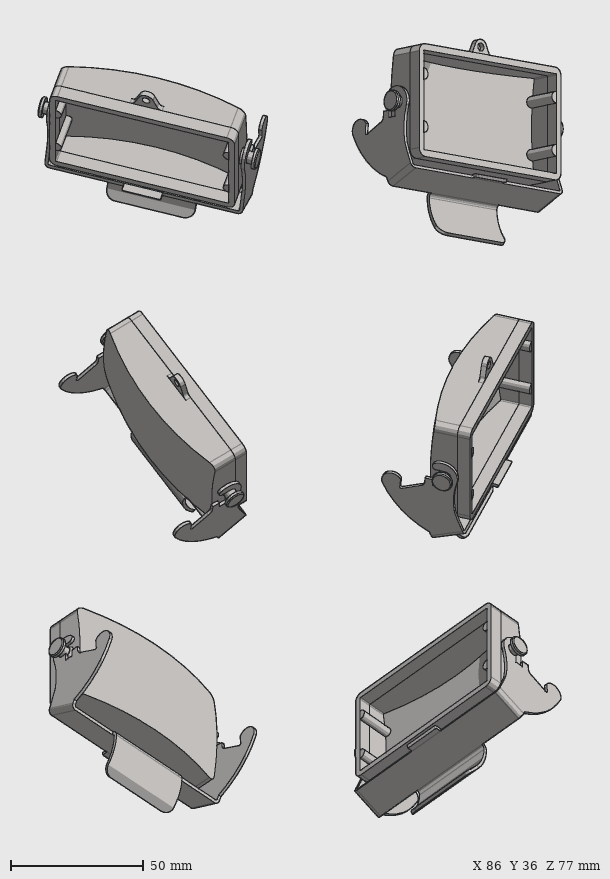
import cadquery as cq
import math

SIDES = (-1, 1)

hood_width = 73.2
hood_height = 43.6
corner_radius = 3.1
side_wall = 2.3
top_wall = 2.6
inner_corner_radius = 0.4
frame_depth = 5.2
dome_apex = 21.5
dome_radius = 124.7
dome_wall = 2.6

post_diameter = 4.6
post_height = 10.2
post_front = 0.2

ear_thickness = 2.15
ear_hole_diameter = 3.0
ear_hole_height = 25.7
ear_radius = 3.0
ear_lean = 23.7
ear_root_fillet = 2.1

overall_width = 86.0
pin_y = 9.3
pin_diameter = 4.7
pin_head_diameter = 8.0
pin_head_thickness = 1.5
pin_head_chamfer = 0.4
collar_diameter = 6.5
collar_tip_diameter = 5.2

lever_width = 78.35
sheet = 1.3
bend_radius = 2.0
lever_tilt = -22.8
web_bottom = -27.4
web_front = 3.0
web_rear = 16.7
notch_radius = 2.5
notch_step = 1.5
notch_side = 4.9
notch_floor = -5.4
shoulder_top = -2.6
shoulder_end = 7.9

handle_width = 34.9
handle_bend_radius = 2.4
handle_bend_angle = 69.0
handle_radius = 20.1
handle_angle = 46.5
handle_corner_radius = 3.95
catch_width = 15.3
catch_radius = 3.4
catch_angle = 49.0
catch_corner_radius = 0.5

cavity_width = hood_width - 2 * side_wall
cavity_height = hood_height - 2 * top_wall
lever_inner_x = lever_width / 2 - sheet
web_middle = web_bottom + sheet / 2


def rounded_block(width, height, radius, front, back):
    """Block along Y with rounded corners in the XZ plane."""
    return (
        cq.Workplane("XZ", origin=(0, front, 0))
        .rect(width, height)
        .extrude(front - back)
        .edges("|Y")
        .fillet(radius)
    )


def dome_ball(radius):
    """Ball whose rear surface forms the domed back."""
    return cq.Workplane("XY").sphere(radius).translate((0, dome_apex - dome_radius, 0))


cavity = rounded_block(
    cavity_width, cavity_height, inner_corner_radius, 0, dome_apex
).intersect(dome_ball(dome_radius - dome_wall))


def make_frame():
    block = rounded_block(hood_width, hood_height, corner_radius, 0, frame_depth)
    return block.cut(cavity)


def make_ear():
    """Rounded eyelet whose flanks widen into the top of the hood."""
    lean = math.radians(ear_lean)
    top = hood_height / 2
    shoulder_x = ear_radius * math.cos(lean)
    shoulder_z = ear_hole_height + ear_radius * math.sin(lean)
    flank_base_x = shoulder_x + (shoulder_z - top) * math.tan(lean)
    tangent_length = ear_root_fillet * math.tan((math.pi / 2 - lean) / 2)
    root_x = flank_base_x + tangent_length
    flank_x = flank_base_x - tangent_length * math.sin(lean)
    flank_z = top + tangent_length * math.cos(lean)
    bury = 0.9
    return (
        cq.Workplane("XZ", origin=(0, frame_depth, 0))
        .moveTo(-root_x, top - bury)
        .lineTo(-root_x, top)
        .radiusArc((-flank_x, flank_z), -ear_root_fillet)
        .lineTo(-shoulder_x, shoulder_z)
        .threePointArc((0, ear_hole_height + ear_radius), (shoulder_x, shoulder_z))
        .lineTo(flank_x, flank_z)
        .radiusArc((root_x, top), -ear_root_fillet)
        .lineTo(root_x, top - bury)
        .close()
        .moveTo(0, ear_hole_height)
        .circle(ear_hole_diameter / 2)
        .extrude(-ear_thickness)
    )


def make_posts():
    """Half-round posts on the side walls, running from the dome to near the open face."""
    centres = [(side * cavity_width / 2, z) for side in SIDES for z in (-post_height, post_height)]
    return (
        cq.Workplane("XZ", origin=(0, post_front, 0))
        .pushPoints(centres)
        .circle(post_diameter / 2)
        .extrude(post_front - dome_apex)
        .intersect(cavity)
    )


def make_hood():
    block = rounded_block(hood_width, hood_height, corner_radius, frame_depth, dome_apex)
    shell = block.intersect(dome_ball(dome_radius)).cut(cavity)
    return shell.union(make_ear()).union(make_posts())


def make_pin(side):
    """Headed pin standing on one side face of the hood, revolved about its X axis."""
    base = hood_width / 2
    end = overall_width / 2
    shaft_radius = pin_diameter / 2
    head_radius = pin_head_diameter / 2
    outline = [
        (base, 0),
        (base, collar_diameter / 2),
        (lever_inner_x, collar_tip_diameter / 2),
        (lever_inner_x, shaft_radius),
        (end - pin_head_thickness, shaft_radius),
        (end - pin_head_thickness, head_radius),
        (end - pin_head_chamfer, head_radius),
        (end, head_radius - pin_head_chamfer),
        (end, 0),
    ]
    return (
        cq.Workplane("XY", origin=(0, pin_y, 0))
        .polyline([(side * x, r) for x, r in outline])
        .close()
        .revolve(360, (0, 0), (1, 0))
    )


def tilt(shape):
    """Turn a shape of the untilted lever about the X axis and move it onto the pin axis."""
    return shape.rotate((0, 0, 0), (1, 0, 0), lever_tilt).translate((0, pin_y, 0))


def tilted_point(y, z):
    """Place of an untilted lever point after the tilt, relative to the pin axis."""
    angle = math.radians(lever_tilt)
    return (
        y * math.cos(angle) - z * math.sin(angle),
        y * math.sin(angle) + z * math.cos(angle),
    )


def lever_profile():
    """Side outline of the lever, (Y, Z) relative to the pin axis, as a full-width prism."""
    slot_corner = (notch_step, -math.sqrt(notch_radius**2 - notch_step**2))
    return (
        cq.Workplane("YZ", origin=(-lever_width / 2, pin_y, 0))
        .moveTo(*tilted_point(web_front, web_bottom))
        .lineTo(-5.4, -20.4)
        .lineTo(-3.95, -16.3)
        .threePointArc((-3.4, -9.8), (-4.8, -1.8))
        .threePointArc((-2.1, 5.3), (4.3, 5.4))
        .threePointArc((4.9, 3.6), (3.4, notch_radius))
        .lineTo(0, notch_radius)
        .threePointArc((-notch_radius, 0), slot_corner)
        .lineTo(notch_step, notch_floor)
        .lineTo(notch_side, notch_floor)
        .lineTo(notch_side, shoulder_top)
        .lineTo(shoulder_end, shoulder_top)
        .lineTo(8.1, -4.7)
        .threePointArc((8.6, -6.0), (9.9, -6.8))
        .lineTo(17.1, -10.1)
        .threePointArc((17.8, -10.1), (18.1, -9.5))
        .lineTo(17.7, -5.85)
        .threePointArc((21.5, -3.8), (25.1, -9.2))
        .threePointArc((17.55, -20.4), (6.2, -28.4))
        .lineTo(*tilted_point(web_rear, web_bottom + bend_radius))
        .lineTo(*tilted_point(web_rear, web_bottom))
        .close()
        .extrude(lever_width)
    )


def lever_channel():
    """Bent U-shaped sheet from which the side outline is cut."""
    reach = 51.6

    def bar(width, bottom, radius):
        return (
            cq.Workplane("XY", origin=(0, 0, bottom))
            .box(width, 2 * reach, reach, centered=(True, True, False))
            .edges("|Y and <Z")
            .fillet(radius)
        )

    outside = bar(lever_width, web_bottom, bend_radius)
    inside = bar(2 * lever_inner_x, web_bottom + sheet, bend_radius - sheet)
    return tilt(outside.cut(inside))


def curved_sheet(width, centre_y, centre_z, radius, start, end):
    """Sheet of constant thickness following an arc in YZ; radius is at mid-thickness."""

    def at(distance, degrees):
        angle = math.radians(degrees)
        return (centre_y + distance * math.cos(angle), centre_z + distance * math.sin(angle))

    outer = radius + sheet / 2
    inner = radius - sheet / 2
    middle = (start + end) / 2
    return (
        cq.Workplane("YZ", origin=(-width / 2, 0, 0))
        .moveTo(*at(inner, start))
        .lineTo(*at(outer, start))
        .threePointArc(at(outer, middle), at(outer, end))
        .lineTo(*at(inner, end))
        .threePointArc(at(inner, middle), at(inner, start))
        .close()
        .extrude(width)
    )


def make_handle():
    """Finger grip: a tight bend off the rear of the web, then a wide arc curling forward."""
    bend_end = 90 - handle_bend_angle
    bend_z = web_middle - handle_bend_radius
    bend = curved_sheet(handle_width, web_rear, bend_z, handle_bend_radius, bend_end, 90)
    shift = handle_radius - handle_bend_radius
    centre_y = web_rear - shift * math.cos(math.radians(bend_end))
    centre_z = bend_z - shift * math.sin(math.radians(bend_end))
    tip = bend_end - handle_angle
    grip = curved_sheet(handle_width, centre_y, centre_z, handle_radius, tip, bend_end)
    grip = grip.faces("<Z").edges("not |X").fillet(handle_corner_radius)
    return bend.union(grip)


def make_catch():
    """Short lip curving down from the front of the web, with rounded tip and root corners."""
    root_width = catch_width + 2 * catch_corner_radius
    centre_z = web_middle - catch_radius
    lip = curved_sheet(root_width, web_front, centre_z, catch_radius, 90, 90 + catch_angle)
    reach = catch_radius + sheet
    trim = (
        cq.Workplane("XY", origin=(0, 0, web_bottom - reach))
        .moveTo(root_width / 2, web_front)
        .radiusArc((catch_width / 2, web_front - catch_corner_radius), -catch_corner_radius)
        .lineTo(catch_width / 2, web_front - reach)
        .lineTo(root_width / 2, web_front - reach)
        .close()
        .extrude(reach + 2 * sheet)
    )
    lip = lip.cut(trim).cut(trim.mirror("YZ"))
    return lip.faces("<Y").edges("not |X").fillet(catch_corner_radius)


def make_lever():
    sides_and_web = lever_channel().intersect(lever_profile())
    return sides_and_web.union(tilt(make_handle())).union(tilt(make_catch()))


frame = make_frame()
hood = make_hood()
pins = [make_pin(side).val() for side in SIDES]
lever = make_lever()

result = cq.Compound.makeCompound([frame.val(), hood.val(), *pins, lever.val()])